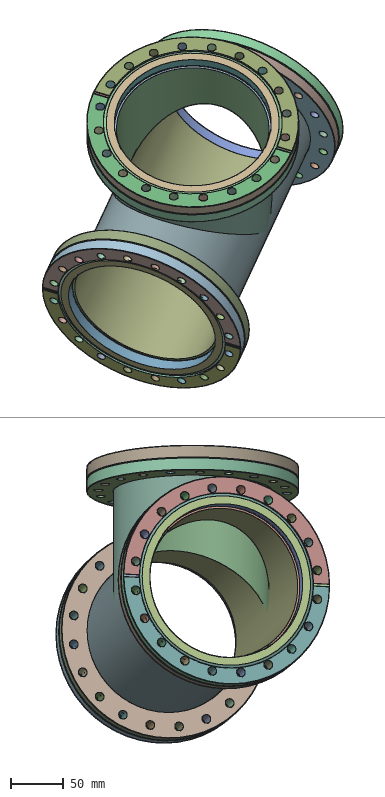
import cadquery as cq

port_reach = 139.7
tube_od = 152.3
tube_bore = 146.0

flange_od = 203.0
thick_flange = 24.0
thin_flange = 22.4
rim_chamfer = 0.42
rim_groove_width = 0.8
rim_groove_depth = 0.5
ring_back_bore = 152.8
pocket_diameter = 171.3

knife_diameter = 165.7
insert_bore = 150.3
crest_drop = 1.0
slope_drop = 2.2
branch_pocket_depth = 11.5
run_pocket_depth = 12.5

bolt_count = 20
bolt_circle = 181.0
bolt_diameter = 8.5
leak_groove_width = 2.5
leak_groove_depth = 0.8

ports = [
    (0, thick_flange, branch_pocket_depth),
    (90, thick_flange, run_pocket_depth),
    (-90, thin_flange, run_pocket_depth),
]


def make_tee():
    """Run tube along Y with an equal branch tube rising along Z."""
    run_reach = port_reach - run_pocket_depth
    branch_reach = port_reach - branch_pocket_depth

    def crossing(diameter):
        run = cq.Workplane("XZ").circle(diameter / 2).extrude(run_reach, both=True)
        branch = cq.Workplane("XY").circle(diameter / 2).extrude(branch_reach)
        return run.union(branch)

    return crossing(tube_od).cut(crossing(tube_bore))


def cut_rim_groove(ring, thickness):
    groove = (
        cq.Workplane("XY")
        .workplane(offset=-(thickness + rim_groove_width) / 2)
        .circle(flange_od / 2 + rim_groove_depth)
        .circle(flange_od / 2 - rim_groove_depth)
        .extrude(rim_groove_width)
    )
    return ring.cut(groove)


def cut_leak_grooves(ring):
    """Shallow radial grooves from the pocket to the rim, on both sides along X."""
    groove = cq.Workplane("XY").box(2 * flange_od, leak_groove_width, 2 * leak_groove_depth)
    return ring.cut(groove)


def cut_bolt_holes(ring, thickness):
    """The hole pattern straddles the X axis."""
    half_pitch = 180 / bolt_count
    holes = (
        cq.Workplane("XY")
        .polarArray(bolt_circle / 2, half_pitch, 360, bolt_count)
        .circle(bolt_diameter / 2)
        .extrude(-thickness)
    )
    return ring.cut(holes)


def make_flange_ring(thickness, pocket_depth):
    """Bolted outer ring with its sealing face at Z = 0 and its body below."""
    ring = cq.Workplane("XY").circle(flange_od / 2).extrude(-thickness)
    ring = ring.faces("<Z or >Z").edges().chamfer(rim_chamfer)
    pocket = cq.Workplane("XY").circle(pocket_diameter / 2).extrude(-pocket_depth)
    back_bore = cq.Workplane("XY").circle(ring_back_bore / 2).extrude(-thickness)
    ring = ring.cut(pocket).cut(back_bore)
    ring = cut_rim_groove(ring, thickness)
    ring = cut_leak_grooves(ring)
    return cut_bolt_holes(ring, thickness)


def make_insert(pocket_depth):
    """Sealing ring whose outer edge slopes down from the crest to the pocket wall."""
    profile = [
        (insert_bore / 2, -pocket_depth),
        (pocket_diameter / 2, -pocket_depth),
        (pocket_diameter / 2, -slope_drop),
        (knife_diameter / 2, -crest_drop),
        (insert_bore / 2, -crest_drop),
    ]
    return cq.Workplane("XZ").polyline(profile).close().revolve(360, (0, 0, 0), (0, 1, 0))


def place_at_port(body, tilt):
    """Lift the body to the +Z port, then swing it about X to its own port."""
    return body.translate((0, 0, port_reach)).rotate((0, 0, 0), (1, 0, 0), tilt)


tee = make_tee()
flange_rings = []
inserts = []
for tilt, thickness, pocket_depth in ports:
    flange_rings.append(place_at_port(make_flange_ring(thickness, pocket_depth), tilt))
    inserts.append(place_at_port(make_insert(pocket_depth), tilt))

result = cq.Compound.makeCompound([
    tee.val(),
    *[ring.val() for ring in flange_rings],
    *[insert.val() for insert in inserts],
])